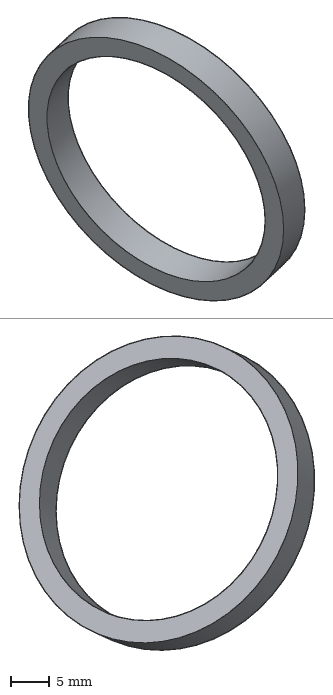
import cadquery as cq

outer_diameter = 41.0
inner_diameter = 35.0
ring_width = 4.8

result = (
    cq.Workplane("XZ")
    .circle(outer_diameter / 2)
    .circle(inner_diameter / 2)
    .extrude(ring_width)
)